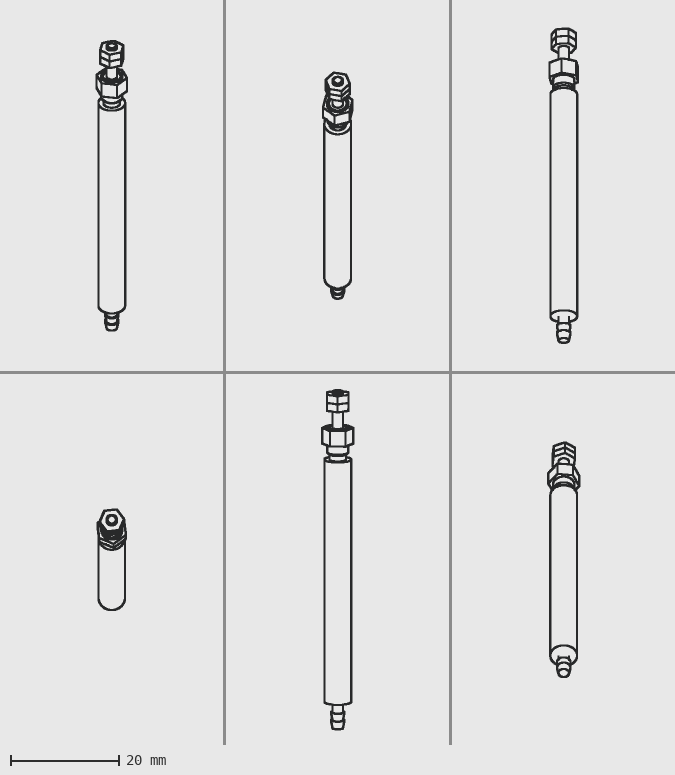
import cadquery as cq
import math

overall_length = 64.0
barb_length = 5.0
barrel_length = 46.0
barrel_top = barb_length + barrel_length

barrel_diameter = 5.0
relief_diameter = 3.15
relief_length = 1.0
nose_diameter = 4.0
nose_end_diameter = 3.25
nose_chamfer = (nose_diameter - nose_end_diameter) / 2

barb_neck_diameter = 2.0
barb_crest_diameter = 2.55
barb_root_fillet = 0.2
barbed_length = 3.0
barb_count = 2
barb_pitch = barbed_length / barb_count

mount_nut_flats = 5.0
mount_nut_height = 3.0
mount_nut_bottom = 54.0
nose_top = mount_nut_bottom + mount_nut_height

rod_diameter = 2.0
rod_tip_diameter = 1.55
rod_chamfer = (rod_diameter - rod_tip_diameter) / 2
rod_nut_flats = 4.0
rod_nut_height = 1.55
rod_nut_count = 2
rod_nuts_bottom = 60.5

nut_cone_angle = math.radians(10)
corner_clearance = 0.1


def make_body():
    """Barrel, threaded nose and hose barb, revolved about Z, with the rod bore."""
    barb_root = barb_neck_diameter / 2
    barb_crest = barb_crest_diameter / 2
    profile = cq.Workplane("XZ").moveTo(0, 0).lineTo(barb_root, 0)
    for barb in range(1, barb_count + 1):
        crest_height = barb * barb_pitch
        profile = profile.lineTo(barb_crest, crest_height).lineTo(barb_root, crest_height)
    relief_top = barrel_top + relief_length
    profile = (
        profile.lineTo(barb_root, barb_length - barb_root_fillet)
        .tangentArcPoint((barb_root + barb_root_fillet, barb_length), relative=False)
        .lineTo(barrel_diameter / 2, barb_length)
        .lineTo(barrel_diameter / 2, barrel_top)
        .lineTo(relief_diameter / 2, barrel_top)
        .lineTo(relief_diameter / 2, relief_top)
        .lineTo(nose_end_diameter / 2, relief_top)
        .lineTo(nose_diameter / 2, relief_top + nose_chamfer)
        .lineTo(nose_diameter / 2, nose_top - nose_chamfer)
        .lineTo(nose_end_diameter / 2, nose_top)
        .lineTo(0, nose_top)
        .close()
    )
    rod_bore = (
        cq.Workplane("XY", origin=(0, 0, barrel_top)).circle(rod_diameter / 2).extrude(nose_top - barrel_top)
    )
    return profile.revolve(360, (0, 0, 0), (0, 1, 0)).cut(rod_bore)


def make_corner_cone(flats, height, bottom):
    """Cone frustum that leaves a round top face on a nut, as wide as its flats."""
    corner_radius = flats / 2 / math.cos(math.pi / 6)
    rim_radius = corner_radius + corner_clearance
    drop = (rim_radius - flats / 2) * math.tan(nut_cone_angle)
    return (
        cq.Workplane("XZ")
        .moveTo(0, bottom)
        .lineTo(rim_radius, bottom)
        .lineTo(rim_radius, bottom + height - drop)
        .lineTo(flats / 2, bottom + height)
        .lineTo(0, bottom + height)
        .close()
        .revolve(360, (0, 0, 0), (0, 1, 0))
    )


def make_nut(flats, height, bore_diameter, bottom, turn=0.0):
    """Hexagonal nut with its top corners rounded off, turned about Z from corners on X."""
    corners = flats / math.cos(math.pi / 6)
    hexagon = (
        cq.Workplane("XY", origin=(0, 0, bottom))
        .transformed(rotate=(0, 0, turn))
        .polygon(6, corners)
        .circle(bore_diameter / 2)
        .extrude(height)
    )
    return hexagon.intersect(make_corner_cone(flats, height, bottom))


def make_rod():
    """Piston rod from the foot of the nose bore to its chamfered tip."""
    return (
        cq.Workplane("XY", origin=(0, 0, barrel_top))
        .circle(rod_diameter / 2)
        .extrude(overall_length - barrel_top)
        .faces(">Z")
        .chamfer(rod_chamfer)
    )


body = make_body()
mount_nut = make_nut(mount_nut_flats, mount_nut_height, nose_diameter, mount_nut_bottom)
rod = make_rod()
rod_nuts = [
    make_nut(rod_nut_flats, rod_nut_height, rod_diameter, rod_nuts_bottom + index * rod_nut_height, turn=30)
    for index in range(rod_nut_count)
]

result = cq.Compound.makeCompound(
    [body.val(), mount_nut.val(), rod.val(), *[nut.val() for nut in rod_nuts]]
)